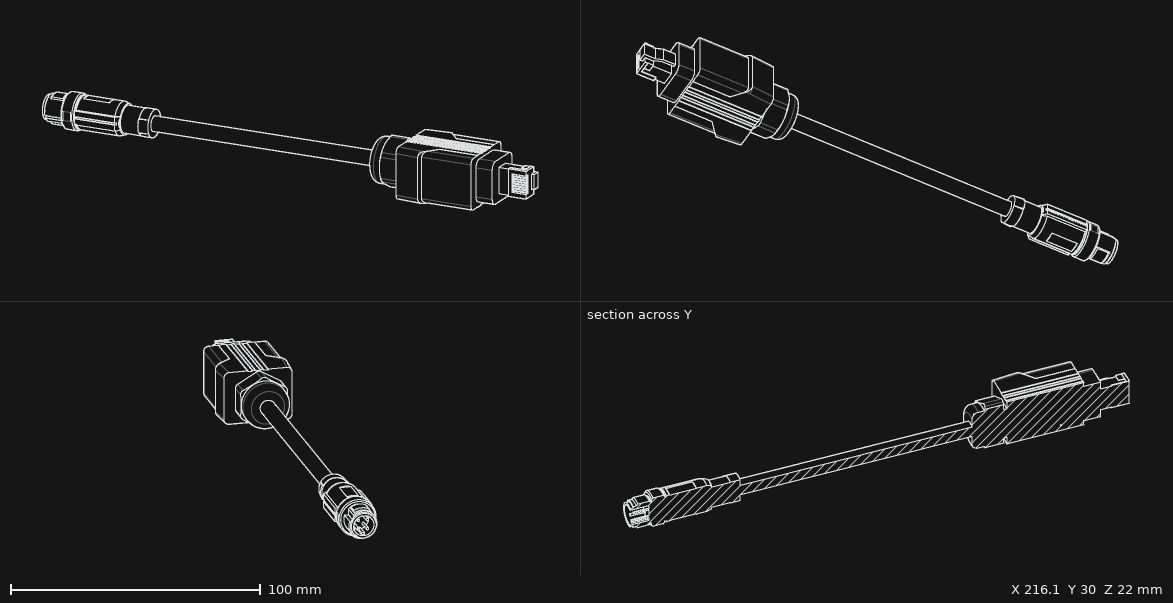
import cadquery as cq
import math


tip_step_x = 1.3
ring_start = 9.2
ring_end = 14.9
grip_start = 15.6
grip_taper_x = 33.0
grip_end = 35.1
sleeve_end = 47.4
nut_start = 147.1
nut_cone_x = 152.4
hex_start = 153.2
nut_end = 160.9
housing_start = 162.1
housing_end = 195.3
collar_end = 202.5
plug_end = 214.9
overall_length = 216.1

overlap = 0.1
cut_reach = 1.0

tip_end_radius = 5.2
tip_radius = 5.8
socket_radius = 4.2
socket_depth = 8.0
pin_radius = 0.5
pin_offset = 1.9
pin_start = 1.5
key_width = 1.2
key_height = 0.9
patch_start = 2.6
patch_end = 8.9
patch_width = 6.4
patch_radius = 6.5
patch_chamfer = 0.7
side_groove_width = 1.2
side_groove_z = -2.5
side_groove_floor_y = 4.7
side_step_y = 3.9
side_step_z = 1.9
ring_radius = 7.7
ring_chamfer = 0.6
ring_flat_start = 10.4
ring_flat_end = 13.7
ring_flat_width = 3.8
neck_radius = 6.7
grip_radius = 7.1
grip_end_radius = 6.4
grip_pad_y = 7.7
grip_pad_width = 5.8
grip_pad_chamfer = 1.6
grip_groove_width = 0.8
grip_groove_depth = 0.5
label_start = 17.0
label_end = 28.5
label_width = 4.8
sleeve_radius = 5.7
sleeve_band_start = 43.1
sleeve_band_radius = 5.85
sleeve_pad_width = 5.9
sleeve_pad_front_radius = 6.3
sleeve_pad_back_radius = 5.88
cable_radius = 3.2

nut_radius = 9.6
nut_round = 2.7
hex_sides = 6
hex_across_flats = 19.4
hex_edge_round = 2.0
hex_cone_radius = 11.0
nut_neck_radius = 7.7

housing_height = 22.0
housing_width = 30.0
housing_front_width = 28.3
housing_round = 2.2
wing_tip_x = 172.2
wing_back_x = 178.3
wing_back_y = 7.5
rear_width = 27.3
rear_drop = 0.1
rear_round = housing_round - rear_drop
face_groove_width = 1.95
face_groove_pitch = 3.23
face_groove_depth = 0.3
collar_size = 18.1
collar_round = 2.9

body_top_y = 2.9
body_bottom_y = -3.0
body_width = 11.1
flange_start = 207.0
flange_bottom_y = -3.6
flange_arm_y = -1.7
flange_post_x = 213.6
flange_top_y = 3.5
flange_width = 11.7
block_start = 211.0
block_bottom_y = 0.2
block_width = 11.4
contact_count = 8
contact_pitch = 1.02
contact_slot_width = 0.6
contact_start = 208.7
contact_depth = 1.6
latch_width = 6.4
latch_outer_y = 6.1
latch_inner_y = 4.9
latch_bend_x = 208.0
latch_head_outer_y = 5.0
latch_head_inner_y = 1.4
latch_root_y = 3.8


def box(x0, x1, y0, y1, z0, z1):
    return cq.Workplane("XY").box(x1 - x0, y1 - y0, z1 - z0, centered=False).translate((x0, y0, z0))


def rod(x0, x1, radius, y=0.0, z=0.0):
    return cq.Workplane("YZ", origin=(x0, 0, 0)).center(y, z).circle(radius).extrude(x1 - x0)


def plate(points, width):
    """Outline in the XY plane, extruded symmetrically about Z = 0."""
    return cq.Workplane("XY").polyline(points).close().extrude(width / 2, both=True)


def revolved(profile):
    """Half profile of (X, radius) points turned about the X axis."""
    return cq.Workplane("XY").polyline(profile).close().revolve(360, (0, 0, 0), (1, 0, 0))


def tip():
    """Pin shroud with raised patches above and below, a groove on the -Y side and a step on the +Y side."""
    shroud = rod(0, tip_step_x, tip_end_radius).union(rod(tip_step_x, grip_start, tip_radius))
    half = patch_width / 2
    patch = rod(patch_start, patch_end, patch_radius).faces("<X or >X").chamfer(patch_chamfer)
    band = box(patch_start, patch_end, -half, half, -patch_radius, patch_radius)
    shroud = shroud.union(patch.intersect(band))
    groove_bottom = side_groove_z - side_groove_width / 2
    groove_top = side_groove_z + side_groove_width / 2
    groove = box(tip_step_x, ring_start, -patch_radius, -side_groove_floor_y, groove_bottom, groove_top)
    step = box(tip_step_x, ring_start, side_step_y, patch_radius, side_step_z, patch_radius)
    shroud = shroud.cut(groove).cut(step).cut(rod(0, socket_depth, socket_radius))
    key_floor = -socket_radius - overlap
    key_top = -socket_radius + key_height
    key = box(tip_step_x, socket_depth, -key_width / 2, key_width / 2, key_floor, key_top)
    shroud = shroud.union(key)
    for y in (-pin_offset, pin_offset):
        for z in (-pin_offset, pin_offset):
            shroud = shroud.union(rod(pin_start, socket_depth + overlap, pin_radius, y, z))
    return shroud


def coupling_ring():
    """Chamfered ring with a flat on each side, and the neck behind it."""
    ring = rod(ring_start, ring_end, ring_radius).faces("<X or >X").chamfer(ring_chamfer)
    half = ring_flat_width / 2
    flat_y = math.sqrt(ring_radius**2 - half**2)
    for y0 in (flat_y, -flat_y - cut_reach):
        ring = ring.cut(box(ring_flat_start, ring_flat_end, y0, y0 + cut_reach, -half, half))
    neck = rod(ring_end, grip_start, neck_radius)
    return ring.union(neck)


def grip():
    """Body with grooved side pads and a flat label field above and below."""
    profile = [
        (grip_start, 0),
        (grip_start, grip_radius),
        (grip_taper_x, grip_radius),
        (grip_end, grip_end_radius),
        (grip_end, 0),
    ]
    body = revolved(profile)
    pads = box(grip_start, grip_end, -grip_pad_y, grip_pad_y, -grip_pad_width / 2, grip_pad_width / 2)
    pads = pads.faces(">X").edges("|Z").chamfer(grip_pad_chamfer)
    body = body.union(pads)
    half_label = label_width / 2
    flat_z = math.sqrt(grip_radius**2 - half_label**2)
    half_groove = grip_groove_width / 2
    groove_y = grip_pad_y - grip_groove_depth
    for y0 in (groove_y, -grip_pad_y):
        body = body.cut(box(grip_start, grip_end, y0, y0 + grip_groove_depth, -half_groove, half_groove))
    for z0 in (flat_z, -flat_z - cut_reach):
        body = body.cut(box(label_start, label_end, -half_label, half_label, z0, z0 + cut_reach))
    return body


def sleeve():
    """Smooth sleeve with a slightly larger end band and a flared pad on each side of it."""
    band = rod(sleeve_band_start, sleeve_end, sleeve_band_radius)
    pad_profile = [
        (sleeve_band_start, 0),
        (sleeve_band_start, sleeve_pad_front_radius),
        (sleeve_end, sleeve_pad_back_radius),
        (sleeve_end, 0),
    ]
    reach = sleeve_pad_front_radius
    half = sleeve_pad_width / 2
    pads = revolved(pad_profile).intersect(box(sleeve_band_start, sleeve_end, -reach, reach, -half, half))
    return rod(grip_end, sleeve_end, sleeve_radius).union(band).union(pads)


def gland_nut():
    """Rounded dome running into a hexagon with its corners on the Z axis, and a neck."""
    dome = rod(nut_start, hex_start, nut_radius).faces("<X").edges().fillet(nut_round)
    hexagon = (
        cq.Workplane("YZ", origin=(nut_cone_x, 0, 0))
        .transformed(rotate=(0, 0, 90))
        .polygon(hex_sides, hex_across_flats / math.cos(math.pi / hex_sides))
        .extrude(nut_end - nut_cone_x)
        .edges("|X")
        .fillet(hex_edge_round)
    )
    envelope_profile = [
        (nut_cone_x, 0),
        (nut_cone_x, nut_radius),
        (hex_start, hex_cone_radius),
        (nut_end, hex_cone_radius),
        (nut_end, 0),
    ]
    envelope = revolved(envelope_profile)
    neck = rod(nut_end, housing_start, nut_neck_radius)
    return dome.union(hexagon.intersect(envelope)).union(neck)


def housing():
    """Winged front block over a slightly lower rear block, with grooves above and below."""
    half_front = housing_front_width / 2
    half_wing = housing_width / 2
    flare = [
        (housing_start, -half_front),
        (wing_tip_x, -half_wing),
        (wing_back_x, -half_wing),
        (wing_back_x, half_wing),
        (wing_tip_x, half_wing),
        (housing_start, half_front),
    ]
    front = plate(flare, housing_height)
    front = front.faces(">Z or <Z").edges("<Y or >Y").fillet(housing_round)
    wing_cut = [
        (wing_tip_x, half_wing),
        (wing_back_x, wing_back_y),
        (wing_back_x, half_wing),
    ]
    corner = plate(wing_cut, housing_height)
    front = front.cut(corner).cut(corner.mirror("XZ"))
    half_height = housing_height / 2
    core = box(housing_start, housing_end, -wing_back_y, wing_back_y, -half_height, half_height)
    half_rear = rear_width / 2
    rear_z = half_height - rear_drop
    rear = box(wing_tip_x, housing_end, -half_rear, half_rear, -rear_z, rear_z)
    rear = rear.edges("|X").fillet(rear_round)
    block = front.union(core).union(rear)
    for row in (-1, 0, 1):
        y0 = row * face_groove_pitch - face_groove_width / 2
        for z0 in (half_height - face_groove_depth, -half_height):
            groove = box(housing_start, housing_end, y0, y0 + face_groove_width, z0, z0 + face_groove_depth)
            block = block.cut(groove)
    half_collar = collar_size / 2
    collar = box(housing_end, collar_end, -half_collar, half_collar, -half_collar, half_collar)
    return block.union(collar.edges("|X").fillet(collar_round))


def modular_plug():
    """Plug body with a raised rim, contact slots on the -Y side and a latch on the +Y side."""
    half_body = body_width / 2
    body = box(collar_end, plug_end, body_bottom_y, body_top_y, -half_body, half_body)
    flange = [
        (flange_start, flange_bottom_y),
        (plug_end, flange_bottom_y),
        (plug_end, flange_top_y),
        (flange_post_x, flange_top_y),
        (flange_post_x, flange_arm_y),
        (flange_start, flange_arm_y),
    ]
    half_block = block_width / 2
    block = box(block_start, flange_post_x, block_bottom_y, flange_top_y, -half_block, half_block)
    body = body.union(plate(flange, flange_width)).union(block)
    for i in range(contact_count):
        z = (i - (contact_count - 1) / 2) * contact_pitch
        slot_bottom = z - contact_slot_width / 2
        slot_top = z + contact_slot_width / 2
        slot_floor = flange_bottom_y + contact_depth
        body = body.cut(box(contact_start, plug_end, flange_bottom_y, slot_floor, slot_bottom, slot_top))
    latch = [
        (collar_end, latch_inner_y),
        (latch_bend_x, latch_inner_y),
        (block_start, latch_root_y),
        (block_start, latch_head_inner_y),
        (overall_length, latch_head_inner_y),
        (overall_length, latch_head_outer_y),
        (block_start, latch_head_outer_y),
        (latch_bend_x, latch_outer_y),
        (collar_end, latch_outer_y),
    ]
    return body.union(plate(latch, latch_width))


result = (
    rod(socket_depth + overlap, nut_end, cable_radius)
    .union(tip())
    .union(coupling_ring())
    .union(grip())
    .union(sleeve())
    .union(gland_nut())
    .union(housing())
    .union(modular_plug())
)